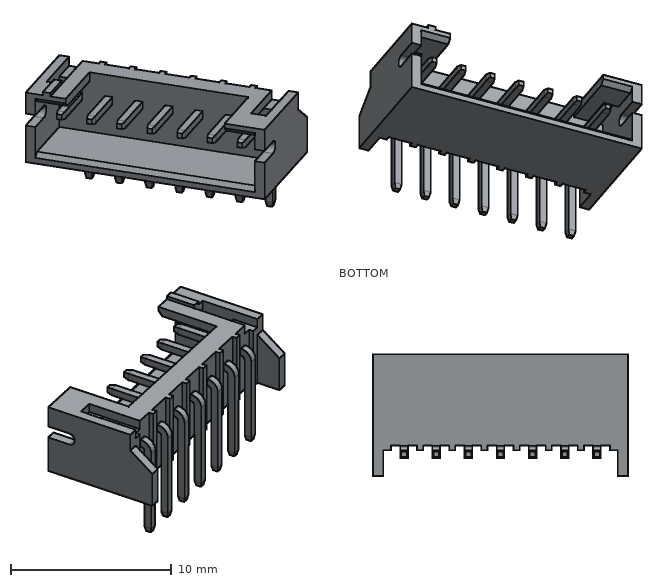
import cadquery as cq
import math

LENGTH = 15.9
DEPTH = 7.6
HEIGHT = 4.77
SIDE_WALL = 0.65
INNER_HALF = LENGTH / 2 - SIDE_WALL
FLOOR = 0.4
ROOF = 0.32

WALL_SHOULDER_Y = 6.0
WALL_SHOULDER_Z = 3.6
WALL_BACK_Z = 2.38

BLOCK_BACK_Y = WALL_SHOULDER_Y
GROOVE_DEPTH = 0.3
GROOVE_WIDTH = 1.6
CAVITY_DEPTH = 4.25

LIP = 0.3
CAVITY_FLOOR = FLOOR + LIP
CAVITY_CEILING = HEIGHT - ROOF - LIP
WINDOW_WIDTH = 10.57

SLOT_WIDTH = 1.0
SLOT_INNER_X = INNER_HALF - SLOT_WIDTH
SLOT_FRONT_Y = 2.0
SLOT_DEPTH = HEIGHT - CAVITY_CEILING
KEY_WIDTH = 0.51
KEY_HEIGHT = 0.22

NOTCH_HEIGHT = 0.81
NOTCH_DEPTH = 1.92
NOTCH_BOTTOM_Z = 2.51

PIN_COUNT = 7
PITCH = 2.0
PIN_SIZE = 0.5
PIN_Z = 3.07
PIN_FRONT_Y = 0.8
LEG_Y = 6.23
LEG_LENGTH = 3.4
TAPER_LENGTH = 0.37
TIP_SIZE = 0.33
BEND_INNER_RADIUS = 0.22


def box(x_range, y_range, z_range):
    """Axis-aligned box between the given limits."""
    (x0, x1), (y0, y1), (z0, z1) = x_range, y_range, z_range
    return cq.Workplane("XY").box(x1 - x0, y1 - y0, z1 - z0, centered=False).translate((x0, y0, z0))


def extrude_profile(points, width):
    """Extrude a (Y, Z) outline along X, symmetric about X = 0."""
    return cq.Workplane("YZ").polyline(points).close().extrude(width / 2, both=True)


def pin_x(index):
    """X of a pin axis."""
    return (index - (PIN_COUNT - 1) / 2) * PITCH


def make_shell():
    """Two stepped side walls with the shorter block between them."""
    outline = [
        (0, 0),
        (DEPTH, 0),
        (DEPTH, WALL_BACK_Z),
        (WALL_SHOULDER_Y, WALL_SHOULDER_Z),
        (WALL_SHOULDER_Y, HEIGHT),
        (0, HEIGHT),
    ]
    shell = extrude_profile(outline, LENGTH)
    return shell.cut(box((-INNER_HALF, INNER_HALF), (BLOCK_BACK_Y, DEPTH), (0, HEIGHT)))


def make_cavity():
    """Front cavity whose mouth flares out at the floor and the roof."""
    outline = [
        (0, FLOOR),
        (LIP, CAVITY_FLOOR),
        (CAVITY_DEPTH, CAVITY_FLOOR),
        (CAVITY_DEPTH, CAVITY_CEILING),
        (LIP, CAVITY_CEILING),
        (0, HEIGHT - ROOF),
    ]
    return extrude_profile(outline, 2 * INNER_HALF)


def make_window():
    """Opening through the roof, open to the front."""
    return box((-WINDOW_WIDTH / 2, WINDOW_WIDTH / 2), (0, CAVITY_DEPTH), (CAVITY_FLOOR, HEIGHT))


def make_corner_slots():
    """Slots beside the side walls, through the roof and on over the rear block."""
    slot = box((SLOT_INNER_X, INNER_HALF), (SLOT_FRONT_Y, BLOCK_BACK_Y), (HEIGHT - SLOT_DEPTH, HEIGHT))
    return slot.union(slot.mirror("YZ"))


def make_notch():
    """Round-ended latch notch through both side walls."""
    radius = NOTCH_HEIGHT / 2
    top = NOTCH_BOTTOM_Z + NOTCH_HEIGHT
    return (
        cq.Workplane("YZ")
        .moveTo(0, NOTCH_BOTTOM_Z)
        .lineTo(NOTCH_DEPTH - radius, NOTCH_BOTTOM_Z)
        .threePointArc((NOTCH_DEPTH, NOTCH_BOTTOM_Z + radius), (NOTCH_DEPTH - radius, top))
        .lineTo(0, top)
        .close()
        .extrude(LENGTH / 2, both=True)
    )


def make_groove(x):
    """Vertical groove in the back face behind one pin."""
    half = GROOVE_WIDTH / 2
    return box((x - half, x + half), (BLOCK_BACK_Y - GROOVE_DEPTH, BLOCK_BACK_Y), (0, HEIGHT))


def make_key():
    """Polarity rib on the roof."""
    return box((-SLOT_INNER_X - KEY_WIDTH, -SLOT_INNER_X), (0, SLOT_FRONT_Y), (HEIGHT, HEIGHT + KEY_HEIGHT))


def make_tip(plane):
    """Tapered pin end, growing along the plane normal."""
    return (
        cq.Workplane(plane)
        .rect(PIN_SIZE, PIN_SIZE)
        .workplane(offset=TAPER_LENGTH)
        .rect(TIP_SIZE, TIP_SIZE)
        .loft(ruled=True)
    )


def make_pin(x):
    """Pin running back through the block, then bent down into a solder leg."""
    half = PIN_SIZE / 2
    contact_start = PIN_FRONT_Y + TAPER_LENGTH
    leg_end = TAPER_LENGTH - LEG_LENGTH
    inner_y, outer_y = LEG_Y - half, LEG_Y + half
    bottom_z, top_z = PIN_Z - half, PIN_Z + half
    outer_radius = BEND_INNER_RADIUS + PIN_SIZE
    bend_y = outer_y - outer_radius
    bend_z = top_z - outer_radius
    diagonal = math.sqrt(0.5)
    outer_mid = (bend_y + diagonal * outer_radius, bend_z + diagonal * outer_radius)
    inner_mid = (bend_y + diagonal * BEND_INNER_RADIUS, bend_z + diagonal * BEND_INNER_RADIUS)
    bent_bar = (
        cq.Workplane("YZ", origin=(x, 0, 0))
        .moveTo(contact_start, top_z)
        .lineTo(bend_y, top_z)
        .threePointArc(outer_mid, (outer_y, bend_z))
        .lineTo(outer_y, leg_end)
        .lineTo(inner_y, leg_end)
        .lineTo(inner_y, bend_z)
        .threePointArc(inner_mid, (bend_y, bottom_z))
        .lineTo(contact_start, bottom_z)
        .close()
        .extrude(half, both=True)
    )
    front_tip = make_tip(cq.Plane((x, contact_start, PIN_Z), (1, 0, 0), (0, -1, 0)))
    leg_tip = make_tip(cq.Plane((x, LEG_Y, leg_end), (1, 0, 0), (0, 0, -1)))
    return bent_bar.union(front_tip).union(leg_tip)


result = make_shell().cut(make_cavity()).cut(make_window()).cut(make_corner_slots()).cut(make_notch())
for i in range(PIN_COUNT):
    result = result.cut(make_groove(pin_x(i)))
result = result.union(make_key())
for i in range(PIN_COUNT):
    result = result.union(make_pin(pin_x(i)))